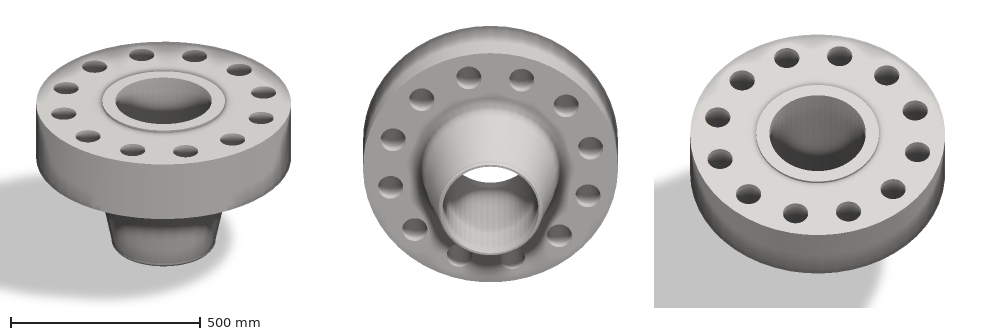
import cadquery as cq
import math

flange_diameter = 673.0
total_height = 425.5
face_height = 7.0
flange_thickness = 164.0

face_diameter = 324.5
bore_diameter = 254.5

neck_base_diameter = 375.0
weld_end_diameter = 274.5
weld_end_length = 12.0
bevel_height = 6.0
land_width = 5.5
neck_fillet_radius = 20.0

bolt_count = 12
bolt_circle_diameter = 540.0
bolt_hole_diameter = 66.5

flange_top = total_height - face_height
flange_bottom = flange_top - flange_thickness

neck_base_radius = neck_base_diameter / 2
weld_end_radius = weld_end_diameter / 2
bore_radius = bore_diameter / 2


def make_body():
    """Revolve the half section of the flange, neck and raised face about Z."""
    taper_angle = math.atan2(neck_base_radius - weld_end_radius, flange_bottom - weld_end_length)
    tangent_length = neck_fillet_radius * math.tan((math.pi / 2 - taper_angle) / 2)
    fillet_start = (
        neck_base_radius - tangent_length * math.sin(taper_angle),
        flange_bottom - tangent_length * math.cos(taper_angle),
    )
    fillet_end = (neck_base_radius + tangent_length, flange_bottom)
    section = (
        cq.Workplane("XZ")
        .moveTo(bore_radius, 0)
        .lineTo(bore_radius + land_width, 0)
        .lineTo(weld_end_radius, bevel_height)
        .lineTo(weld_end_radius, weld_end_length)
        .lineTo(*fillet_start)
        .tangentArcPoint(fillet_end, relative=False)
        .lineTo(flange_diameter / 2, flange_bottom)
        .lineTo(flange_diameter / 2, flange_top)
        .lineTo(face_diameter / 2, flange_top)
        .lineTo(face_diameter / 2, total_height)
        .lineTo(bore_radius, total_height)
        .close()
    )
    return section.revolve(360, (0, 0, 0), (0, 1, 0))


def make_bolt_holes():
    """Cylinders through the flange, the first one on the X axis."""
    return (
        cq.Workplane("XY")
        .workplane(offset=flange_bottom)
        .polarArray(bolt_circle_diameter / 2, 0, 360, bolt_count)
        .circle(bolt_hole_diameter / 2)
        .extrude(flange_thickness)
    )


result = make_body().cut(make_bolt_holes())